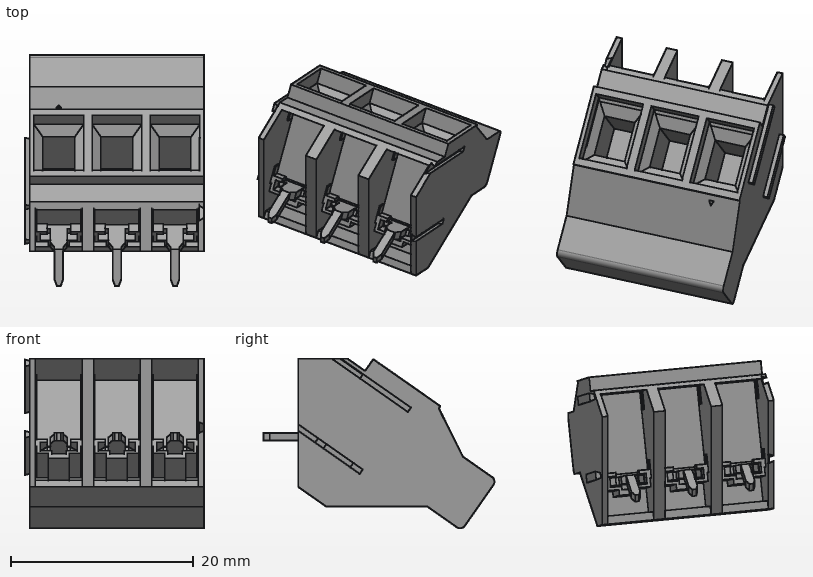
import cadquery as cq
import math


TILT = 35.0
COS = math.cos(math.radians(TILT))
SIN = math.sin(math.radians(TILT))

POLES = 3
WIDTH = 19.06
PITCH = WIDTH / POLES
TOP_Z = 16.19
FOOT_N = 1.77
SHELF_N = 16.35
ENTRY_N = 17.93
ENTRY_U0 = -2.52
ENTRY_U1 = 6.45
LIP_HEIGHT = 0.28
SNOUT_N0 = 8.1
SNOUT_N1 = 14.82
SNOUT_END_U = 16.13
SNOUT_ROOT_U = 11.62
SNOUT_RADIUS = 0.63

MARK_WIDTH = 0.53
MARK_LENGTH = 0.55
MARK_OFFSET = 0.68
MARK_DEPTH = 0.08

FUNNEL_WIDTH = 5.43
FUNNEL_U0 = -1.75
FUNNEL_U1 = 5.63
FUNNEL_STRAIGHT = 1.77
FUNNEL_TAPER = 0.73
THROAT_WIDTH = 3.48
THROAT_U0 = 0.0
THROAT_U1 = 4.47
WIRE_BOTTOM_N = 9.32

CELL_WIDTH = 5.1
CEILING_N = 15.88
BACK_U = -1.4
CAVITY_BACK_U = 2.2
CAVITY_ROOF_N = 5.38
CAVITY_FLOOR_N = 2.65
OUTSIDE_U = -12.62
CORE_WIDTH = 4.8
PAD_HEIGHT = 2.02
LOW_PAD_N = 6.3

CAGE_FRONT_U = -2.5
CAGE_TOP_N = 7.27
CAGE_HOLE_WIDTH = 4.05
CAGE_HOLE_N0 = 5.73
CAGE_HOLE_N1 = 6.87
CAGE_HOLE_BACK_U = -1.04
CAGE_NOTCH_WIDTH = 2.58
NOTCH_ROOF_N = 7.1
TAB_WIDTH = 2.3
TAB_BOTTOM_N = 4.75
TAB_HOLE_WIDTH = 1.6
TAB_HOLE_N = 5.33

PIN_WIDTH = 0.95
PIN_Z0 = 7.22
PIN_Z1 = 8.08
PIN_LENGTH = 3.8
PIN_TIP_LENGTH = 0.7
PIN_TIP_WIDTH = 0.43
PIN_BEND_Y = 0.25
BAR_N1 = SIN * PIN_BEND_Y + COS * PIN_Z1
BAR_N0 = BAR_N1 - (PIN_Z1 - PIN_Z0)
BAR_WIDTH = 1.85
BAR_BEND_U = COS * PIN_BEND_Y - SIN * PIN_Z1
BAR_NECK_U = -4.2
BAR_SHOULDER_U = -3.54
BAR_HEAD_U = -1.72
BAR_HEAD_WIDTH = 2.55
BAR_FLARE_WIDTH = 3.9
BAR_ROOT_U = -0.5

RIB_HEIGHT = 0.53
RIB_WIDTH = 0.93
RIB_FLARE = 0.18
RIBS = [(-5.05, 3.9, 15.65), (-3.65, 3.45, 7.1)]


def from_tilted(u, n):
    """Y and Z of a point given in the tilted frame."""
    return (COS * u + SIN * n, -SIN * u + COS * n)


def side_plane(x):
    """Plane across X whose local axes are u and n."""
    return cq.Workplane(cq.Plane(origin=(x, 0, 0), xDir=(0, COS, -SIN), normal=(1, 0, 0)))


def plan_plane(n):
    """Sloping plane at height n whose local axes are X and u."""
    return cq.Workplane(cq.Plane(origin=(0, SIN * n, COS * n), xDir=(1, 0, 0), normal=(0, SIN, COS)))


def tilted_box(center_x, width, u0, u1, n0, n1):
    """Box aligned with the tilted frame, centred on center_x."""
    return (
        side_plane(center_x)
        .center((u0 + u1) / 2, (n0 + n1) / 2)
        .rect(u1 - u0, n1 - n0)
        .extrude(width / 2, both=True)
    )


def housing():
    outline = [
        (0, TOP_Z),
        (0, FOOT_N / COS),
        (FOOT_N / SIN, 0),
        (SNOUT_N0 / SIN, 0),
        from_tilted(SNOUT_END_U, SNOUT_N0),
        from_tilted(SNOUT_END_U, SNOUT_N1),
        from_tilted(SNOUT_ROOT_U, SNOUT_N1),
        from_tilted(ENTRY_U1, ENTRY_N - LIP_HEIGHT),
        from_tilted(ENTRY_U1, ENTRY_N),
        from_tilted(ENTRY_U0, ENTRY_N),
        from_tilted(ENTRY_U0, SHELF_N),
        ((SHELF_N - COS * TOP_Z) / SIN, TOP_Z),
    ]
    body = cq.Workplane("YZ").polyline(outline).close().extrude(WIDTH)
    for n in (SNOUT_N0, SNOUT_N1):
        y, z = from_tilted(SNOUT_END_U, n)
        corner = cq.selectors.NearestToPointSelector((WIDTH / 2, y, z))
        body = body.edges(corner).fillet(SNOUT_RADIUS)
    return body


def pole_mark(x):
    """Shallow triangle sunk into the slope below the lip, apex down the slope."""
    top_y, top_z = from_tilted(ENTRY_U1, ENTRY_N - LIP_HEIGHT)
    low_y, low_z = from_tilted(SNOUT_ROOT_U, SNOUT_N1)
    down_y = low_y - top_y
    down_z = low_z - top_z
    slope = cq.Plane(origin=(x, top_y, top_z), xDir=(1, 0, 0), normal=(0, -down_z, down_y))
    corners = [
        (-MARK_WIDTH / 2, MARK_OFFSET),
        (MARK_WIDTH / 2, MARK_OFFSET),
        (0, MARK_OFFSET + MARK_LENGTH),
    ]
    return cq.Workplane(slope).polyline(corners).close().extrude(-MARK_DEPTH)


def wire_funnel(x):
    mouth_u = (FUNNEL_U0 + FUNNEL_U1) / 2
    throat_u = (THROAT_U0 + THROAT_U1) / 2
    taper_n = ENTRY_N - FUNNEL_STRAIGHT
    throat_n = taper_n - FUNNEL_TAPER
    mouth = tilted_box(x, FUNNEL_WIDTH, FUNNEL_U0, FUNNEL_U1, taper_n, ENTRY_N)
    taper = (
        plan_plane(throat_n)
        .center(x, throat_u)
        .rect(THROAT_WIDTH, THROAT_U1 - THROAT_U0)
        .workplane(offset=FUNNEL_TAPER)
        .center(0, mouth_u - throat_u)
        .rect(FUNNEL_WIDTH, FUNNEL_U1 - FUNNEL_U0)
        .loft(ruled=True)
    )
    throat = tilted_box(x, THROAT_WIDTH, THROAT_U0, THROAT_U1, WIRE_BOTTOM_N, throat_n)
    return mouth.union(taper).union(throat)


def cell(x):
    """Open space of a cell: tall recess, lower cavity and a narrow gap on each side of the core."""
    foot_u = -FOOT_N * SIN / COS
    profile = [
        (OUTSIDE_U, CEILING_N),
        (BACK_U, CEILING_N),
        (BACK_U, CAVITY_ROOF_N),
        (CAVITY_BACK_U, CAVITY_ROOF_N),
        (CAVITY_BACK_U, CAVITY_FLOOR_N),
        (foot_u, CAVITY_FLOOR_N),
        (foot_u, 0),
        (OUTSIDE_U, 0),
    ]
    space = side_plane(x).polyline(profile).close().extrude(CELL_WIDTH / 2, both=True)
    gap = (CELL_WIDTH - CORE_WIDTH) / 2
    high_pad_n = CEILING_N - PAD_HEIGHT
    for side in (-1, 1):
        gap_x = x + side * (CORE_WIDTH + gap) / 2
        space = space.union(tilted_box(gap_x, gap, BACK_U, CAVITY_BACK_U, CAVITY_ROOF_N, high_pad_n))
        for pad_n in (LOW_PAD_N, high_pad_n):
            space = space.cut(tilted_box(gap_x, gap, CAGE_FRONT_U, BACK_U, pad_n, pad_n + PAD_HEIGHT))
    return space


def clamp_cage(x):
    frame = tilted_box(x, CORE_WIDTH, CAGE_FRONT_U, BACK_U, CAVITY_ROOF_N, CAGE_TOP_N)
    tab = tilted_box(x, TAB_WIDTH, CAGE_FRONT_U, CAVITY_BACK_U, TAB_BOTTOM_N, CAVITY_ROOF_N)
    return frame.union(tab)


def cage_opening(x):
    """Hole into the cage front, its top notch with the recess behind, and the trough in the tab."""
    hole = tilted_box(x, CAGE_HOLE_WIDTH, CAGE_FRONT_U, CAGE_HOLE_BACK_U, CAGE_HOLE_N0, CAGE_HOLE_N1)
    notch = tilted_box(x, CAGE_NOTCH_WIDTH, CAGE_FRONT_U, BACK_U, CAGE_HOLE_N1, CAGE_TOP_N)
    recess = tilted_box(x, CAGE_NOTCH_WIDTH, BACK_U, CAGE_HOLE_BACK_U, CAGE_HOLE_N1, NOTCH_ROOF_N)
    trough = tilted_box(x, TAB_HOLE_WIDTH, CAGE_FRONT_U, CAGE_HOLE_BACK_U, TAB_HOLE_N, CAGE_HOLE_N0)
    return hole.union(notch).union(recess).union(trough)


def mirrored_outline(plane, half_outline, center_x):
    """Closed outline, symmetric about center_x, from (full width, position) pairs."""
    right = [(center_x + width / 2, place) for width, place in half_outline]
    left = [(center_x - width / 2, place) for width, place in reversed(half_outline)]
    return plane.polyline(right + left).close()


def contact(x):
    """Sloping contact bar bent into a horizontal solder pin."""
    bar_shape = [
        (PIN_WIDTH, BAR_BEND_U),
        (PIN_WIDTH, BAR_NECK_U),
        (BAR_WIDTH, BAR_SHOULDER_U),
        (BAR_WIDTH, BAR_HEAD_U),
        (BAR_HEAD_WIDTH, BAR_HEAD_U),
        (BAR_FLARE_WIDTH, CAGE_HOLE_BACK_U),
        (BAR_FLARE_WIDTH, BAR_ROOT_U),
    ]
    bar = mirrored_outline(plan_plane(BAR_N0), bar_shape, x).extrude(BAR_N1 - BAR_N0)
    tip_start_y = PIN_TIP_LENGTH - PIN_LENGTH
    pin_shape = [
        (PIN_TIP_WIDTH, -PIN_LENGTH),
        (PIN_WIDTH, tip_start_y),
        (PIN_WIDTH, PIN_BEND_Y),
    ]
    pin_plane = cq.Workplane("XY", origin=(0, 0, PIN_Z0))
    pin = mirrored_outline(pin_plane, pin_shape, x).extrude(PIN_Z1 - PIN_Z0)
    return bar.union(pin)


def dovetail(outer_x, u0, u1, middle_n):
    """Dovetail bar along u, wide at outer_x and narrow RIB_HEIGHT further along +X."""
    narrow = RIB_WIDTH - 2 * RIB_FLARE
    section_plane = cq.Plane(
        origin=(outer_x, *from_tilted(u0, middle_n)), xDir=(1, 0, 0), normal=(0, COS, -SIN)
    )
    section = [
        (0, -RIB_WIDTH / 2),
        (RIB_HEIGHT, -narrow / 2),
        (RIB_HEIGHT, narrow / 2),
        (0, RIB_WIDTH / 2),
    ]
    return cq.Workplane(section_plane).polyline(section).close().extrude(u1 - u0)


pole_centers = [PITCH * (index + 0.5) for index in range(POLES)]

result = housing().cut(pole_mark(pole_centers[0]))
for pole_x in pole_centers:
    result = result.cut(cell(pole_x)).cut(wire_funnel(pole_x))
    result = result.union(clamp_cage(pole_x)).cut(cage_opening(pole_x))
    result = result.union(contact(pole_x))
for rib_u0, rib_u1, rib_n in RIBS:
    result = result.union(dovetail(-RIB_HEIGHT, rib_u0, rib_u1, rib_n))
    result = result.cut(dovetail(WIDTH - RIB_HEIGHT, OUTSIDE_U, rib_u1, rib_n))